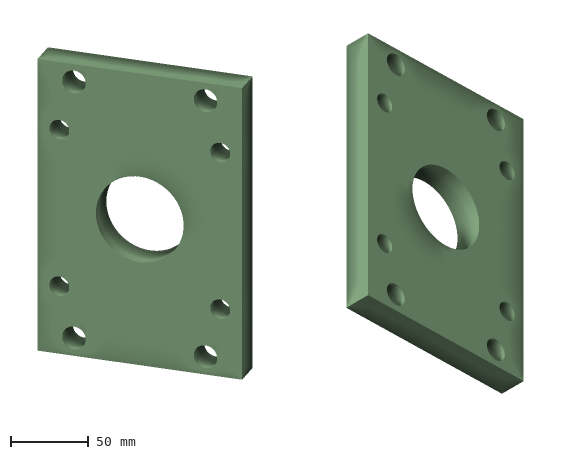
import cadquery as cq

width = 140.0
thickness = 20.0
height = 205.0

bore_diameter = 60.0

outer_hole_diameter = 16.0
outer_spacing_x = 90.0
outer_spacing_z = 2 * outer_spacing_x

inner_hole_diameter = 13.5
inner_spacing = 110.0


def drill_rectangle(plate, spacing_x, spacing_z, diameter):
    """Drill a through hole at each corner of a centred rectangle."""
    return (
        plate.faces("<Y")
        .workplane(origin=(0, 0, 0))
        .rarray(spacing_x, spacing_z, 2, 2)
        .hole(diameter)
    )


plate = cq.Workplane("XY").box(width, thickness, height)
plate = plate.faces("<Y").workplane(origin=(0, 0, 0)).hole(bore_diameter)
plate = drill_rectangle(plate, outer_spacing_x, outer_spacing_z, outer_hole_diameter)
plate = drill_rectangle(plate, inner_spacing, inner_spacing, inner_hole_diameter)

result = plate